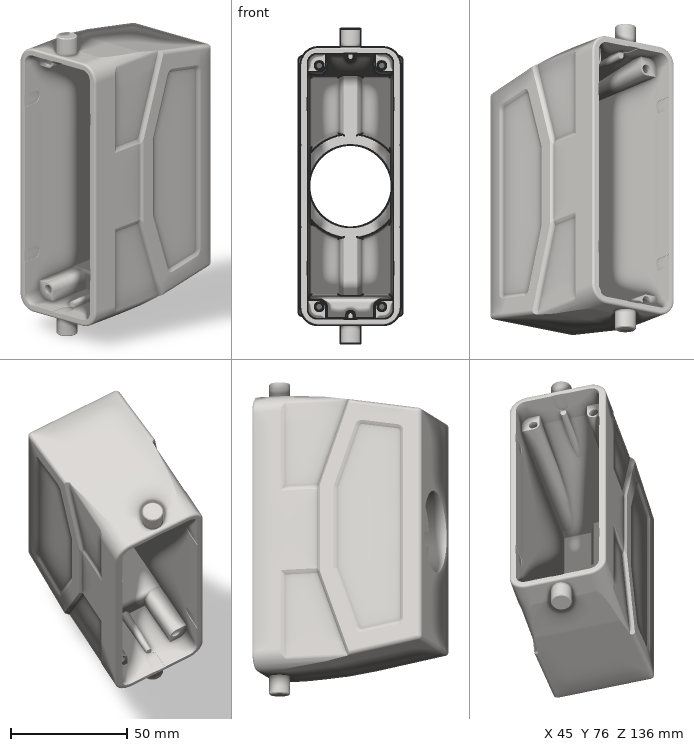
import cadquery as cq
import math


total_length = 136.0
hood_depth = 76.0
hood_width = 45.0
mouth_width = 43.1
mouth_length = 120.0
mouth_corner_radius = 7.6
rim_radius = 1.0
half_mouth = mouth_width / 2
half_hood = hood_width / 2

straight_end_depth = 11.2
knee_depth = 32.1
knee_half_length = 58.0
back_half_length = 50.5
knee_reach = 0.4
end_slope = (knee_half_length - back_half_length) / (hood_depth - knee_depth)

back_edge_radius = 1.8
chevron_slope = math.tan(math.radians(20))
chevron_front = 29.2
chevron_front_lean = 1.6
chevron_flank_half_length = 19.3
chevron_flank_lean = 0.9
rear_block_front = 57.1

grip_half_width = 20.7
grip_core_length = 116.1
grip_corner_radius = 2.9
grip_front = 14.8
grip_half_gap = 19.3
grip_wall_run = 1.9

panel_back = 68.1
panel_front = 37.0
panel_half_front = 18.0
panel_end_margin = 8.5
panel_corner_radius = 3.0
panel_depth = 1.0
panel_wall_run = 1.6

pin_diameter = 9.0
pin_depth = 6.3
pin_root = 58.5
pin_chamfer = 0.4

cavity_width = 37.0
cavity_length = 114.2
cavity_corner_radius = 4.2
cavity_draft = 1.1
floor_depth = 73.0
floor_half_length = 47.0
shelf_depth = 30.6
shelf_half_length = 48.4
shelf_edge_radius = 1.8

post_face = 9.5
post_inner_x = 10.6
post_inner_z = 49.2
post_corner_radius = 3.0
post_draft = 1.5
screw_x = 13.5
screw_z = 52.0
screw_diameter = 4.0
screw_hole_depth = 16.3
screw_hole_draft = 1.5

rib_width = 2.5
rib_tip = 54.4
rib_draft = 2.0

entry_diameter = 35.4
web_height = 4.8
ring_radius = 22.3
spine_width = 5.8
ring_draft = 10.0
spine_draft = 25.0
web_fillet = 0.7

groove_depth = 0.2
groove_width = 5.5
side_groove_z = 35.4


def facing_back(depth):
    """Work plane at the given depth, with Z up and its normal toward the back wall."""
    return cq.Workplane(cq.Plane(origin=(0, depth, 0), xDir=(-1, 0, 0), normal=(0, 1, 0)))


def end_half_length(depth):
    """Half length of the hood on the steeper slope."""
    return knee_half_length + (knee_depth - depth) * end_slope


def across_hood(outline):
    """Depth-by-length outline extruded over the full hood width."""
    start = cq.Workplane("YZ").workplane(offset=-half_hood)
    return start.polyline(outline).close().extrude(hood_width)


def rounded_bar(width, length, radius):
    bar = facing_back(0).rect(width, length).extrude(rear_block_front + 1.4)
    return bar.edges("|Y").fillet(radius)


def both_sides(solid):
    return solid.union(solid.mirror("YZ"))


def both_ends(solid):
    return solid.union(solid.mirror("XY"))


def all_corners(solid):
    return both_ends(both_sides(solid))


def with_mirrored_z(points):
    """Closed outline from its +Z half, listed from front to back."""
    return points + [(y, -z) for y, z in reversed(points)]


def sloped_profile():
    """Side profile of the hood: each end slopes gently, rounds the knee and slopes steeply."""
    gentle_slope = (mouth_length / 2 - knee_half_length) / (knee_depth - straight_end_depth)
    half = (
        cq.Workplane("YZ").workplane(offset=-half_hood)
        .lineTo(0, mouth_length / 2)
        .lineTo(straight_end_depth, mouth_length / 2)
        .lineTo(knee_depth - knee_reach, knee_half_length + knee_reach * gentle_slope)
        .tangentArcPoint((knee_depth + knee_reach, end_half_length(knee_depth + knee_reach)), relative=False)
        .lineTo(hood_depth, back_half_length)
        .lineTo(hood_depth, 0)
        .close().extrude(hood_width)
    )
    return both_ends(half)


def grip_recesses():
    """Material to remove beside the narrower core, with sloping front and inner walls."""
    def outline(run):
        front = grip_front - run
        inner = grip_half_gap - run
        return [(front, inner), (hood_depth, inner), (hood_depth, mouth_length), (front, mouth_length)]

    wall_height = half_mouth - grip_half_width
    zone = (
        cq.Workplane("YZ").workplane(offset=grip_half_width - wall_height)
        .polyline(outline(-grip_wall_run)).close()
        .workplane(offset=3 * wall_height)
        .polyline(outline(2 * grip_wall_run)).close()
        .loft(ruled=True)
    )
    core = rounded_bar(2 * grip_half_width, grip_core_length, grip_corner_radius)
    return all_corners(zone).cut(core)


def chevron_outline(x):
    """Outline of the thick back part at the given distance from the middle plane."""
    front = chevron_front + (x - half_mouth) * chevron_front_lean
    flank = chevron_front + (x - grip_half_width) * chevron_flank_lean
    corner_z = chevron_flank_half_length + (front - flank) / chevron_slope
    end_y = flank + (mouth_length / 2 - chevron_flank_half_length) * chevron_slope
    return with_mirrored_z([(front, corner_z), (end_y, mouth_length / 2), (hood_depth, mouth_length / 2)])


def back_part():
    start = straight_end_depth
    outline = with_mirrored_z([(start, end_half_length(start)), (hood_depth, back_half_length)])
    slab = across_hood(outline)
    slab = slab.faces("<X or >X or >Y").edges("not <Y").fillet(back_edge_radius)
    inner_x = grip_half_width - 2.0
    chevron = (
        cq.Workplane("YZ").workplane(offset=inner_x)
        .polyline(chevron_outline(inner_x)).close()
        .workplane(offset=half_hood - inner_x)
        .polyline(chevron_outline(half_hood)).close()
        .loft(ruled=True)
    )
    rear_block = facing_back(rear_block_front).rect(hood_width, mouth_length).extrude(hood_depth - rear_block_front)
    return slab.intersect(both_sides(chevron).union(rear_block))


def side_panels():
    def end_z(depth):
        return end_half_length(depth) - panel_end_margin

    flank_rise = (end_z(panel_front) - panel_half_front) / (1 + chevron_slope * end_slope)
    flank_end = panel_front + flank_rise * chevron_slope
    outline = with_mirrored_z([
        (panel_front, panel_half_front),
        (flank_end, end_z(flank_end)),
        (panel_back, end_z(panel_back)),
    ])
    sketch = cq.Sketch().polygon(outline + outline[:1])
    sketch = sketch.vertices(">X or >Y or <Y").fillet(panel_corner_radius)
    taper = math.degrees(math.atan(panel_wall_run / panel_depth))
    panel = cq.Workplane("YZ").workplane(offset=half_hood).placeSketch(sketch)
    return both_sides(panel.extrude(-panel_depth, taper=taper))


def locking_pins():
    pin = (
        cq.Workplane("XY", origin=(0, pin_depth, pin_root))
        .circle(pin_diameter / 2).extrude(total_length / 2 - pin_root)
        .faces(">Z").chamfer(pin_chamfer)
    )
    return both_ends(pin)


def screw_posts():
    size_x = cavity_width / 2
    size_z = cavity_length / 2
    post = (
        facing_back(post_face)
        .center(-post_inner_x - size_x / 2, post_inner_z + size_z / 2)
        .sketch().rect(size_x, size_z).vertices().fillet(post_corner_radius).finalize()
        .extrude(floor_depth - post_face, taper=-post_draft)
    )
    return all_corners(post)


def screw_holes():
    hole = (
        facing_back(post_face).center(-screw_x, screw_z)
        .circle(screw_diameter / 2).extrude(screw_hole_depth, taper=screw_hole_draft)
    )
    return all_corners(hole)


def end_ribs():
    rib_root = cavity_length / 2 + rib_width
    rib = (
        facing_back(post_face).center(0, (rib_tip + rib_root) / 2)
        .slot2D(rib_root - rib_tip, rib_width, 90)
        .extrude(floor_depth - post_face - web_height, taper=-rib_draft)
    )
    return both_ends(rib)


def raised_web():
    ring = (
        facing_back(floor_depth - web_height)
        .circle(ring_radius).extrude(web_height, taper=-ring_draft)
    )
    spine = (
        facing_back(floor_depth - web_height)
        .rect(spine_width, cavity_length).extrude(web_height, taper=-spine_draft)
    )
    ring = ring.faces("<Y").edges().fillet(web_fillet)
    spine = spine.faces("<Y").edges("|Z").fillet(web_fillet)
    return ring.union(spine)


def cavity():
    def section(depth):
        outline = cq.Sketch().rect(cavity_width, cavity_length).vertices().fillet(cavity_corner_radius)
        return facing_back(depth).placeSketch(outline)

    mouth = section(0).extrude(post_face)
    inside = section(post_face).extrude(floor_depth - post_face, taper=cavity_draft)
    slope_start = floor_depth - (cavity_length / 2 - floor_half_length) / end_slope
    profile = across_hood([
        (0, cavity_length / 2),
        (slope_start, cavity_length / 2),
        (floor_depth, floor_half_length),
        (floor_depth, -floor_half_length),
        (shelf_depth, -shelf_half_length),
        (shelf_depth, -cavity_length / 2),
        (0, -cavity_length / 2),
    ])
    space = mouth.union(inside).intersect(profile).cut(screw_posts())
    space = space.cut(raised_web())
    space = space.faces(">Y").edges().fillet(web_fillet)

    margin = 0.5
    shelf_edge = cq.selectors.BoxSelector(
        (-post_inner_x, shelf_depth - margin, -shelf_half_length - margin),
        (post_inner_x, shelf_depth + margin, -shelf_half_length + margin),
    )
    space = space.edges(shelf_edge).fillet(shelf_edge_radius)
    return space.cut(end_ribs())


def guide_grooves():
    """Shallow round-ended grooves: two on each side wall and one on each end wall."""
    def groove_pair(span):
        length = span + 2 * groove_depth
        start = cq.Workplane("XY").workplane(offset=-length / 2)
        return start.slot2D(2 * post_face, groove_width, 90).extrude(length)

    end_pair = groove_pair(cavity_length)
    side_pair = groove_pair(cavity_width).rotate((0, 0, 0), (0, 1, 0), 90)
    grooves = both_ends(side_pair.translate((0, 0, side_groove_z)))
    return grooves.union(end_pair)


body = rounded_bar(mouth_width, mouth_length, mouth_corner_radius)
body = body.faces("<Y").edges().fillet(rim_radius)
body = body.intersect(sloped_profile())
body = body.cut(grip_recesses())
body = body.union(back_part())
body = body.cut(side_panels())
body = body.union(locking_pins())
body = body.cut(cavity())
body = body.cut(guide_grooves())
body = body.cut(screw_holes())
result = body.cut(facing_back(0).circle(entry_diameter / 2).extrude(hood_depth))